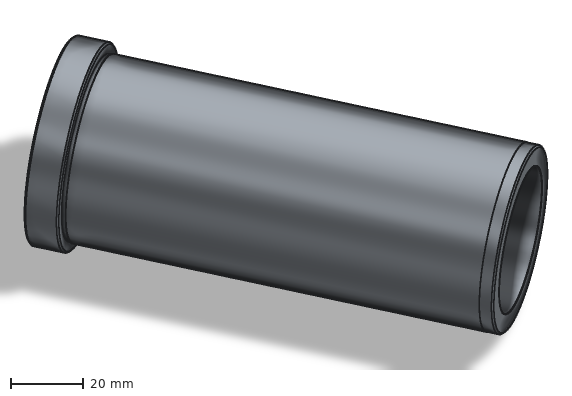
import cadquery as cq

total_length = 135.0
head_diameter = 60.0
head_length = 10.0
body_diameter = 54.0
bore_diameter = 42.0

head_chamfer = 0.5
relief_width = 1.2
relief_depth = 0.3
lead_length = 4.0
lead_diameter = 53.9
end_chamfer = 0.5
bore_chamfer = 0.1


def cylinder(start, length, diameter):
    """Solid cylinder along X, beginning at x = start."""
    return cq.Workplane("YZ", origin=(start, 0, 0)).circle(diameter / 2).extrude(length)


head = cylinder(0, head_length, head_diameter).edges().chamfer(head_chamfer)

relief = cylinder(head_length, relief_width, body_diameter - 2 * relief_depth)

body_start = head_length + relief_width
lead_start = total_length - lead_length
body = cylinder(body_start, lead_start - body_start, body_diameter)

lead = cylinder(lead_start, lead_length, lead_diameter).edges(">X").chamfer(end_chamfer)

bore = cylinder(0, total_length, bore_diameter)
bush = head.union(relief).union(body).union(lead).cut(bore)
bore_rims = bush.faces("<X or >X").edges(cq.selectors.RadiusNthSelector(0))
result = bore_rims.chamfer(bore_chamfer)